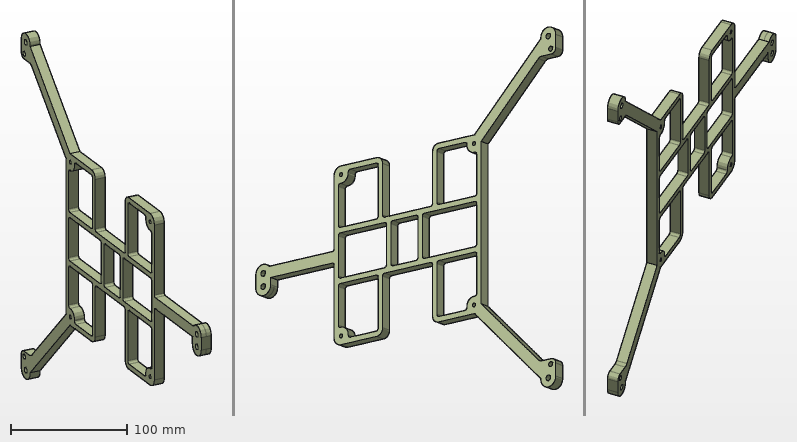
import cadquery as cq
import math

thickness = 10.0
length = 328.0
height = 324.0

frame_size = 161.0
wall = 5.0
screw_spacing = 145.3
screw_hole_diameter = 3.3
boss_radius = 8.0
post_corner_radius = 6.5
window_corner_radius = 2.3
rail_inner_z = 20.5
post_inner_x = 27.2
cross_wall_left_x = -13.8
cross_wall_spacing = 34.5

arm_width = 10.5
arm_root_radius = 1.5
ear_radius = 8.2
ear_hole_diameter = 5.0
ear_hole_spacing = 11.8
side_hole_diameter = 4.3
side_hole_shift = 2.5
ear_foot_drop = 16.7
ear_foot_radius = 5.0

frame_half = frame_size / 2
inner_half = frame_half - wall
screw_offset = screw_spacing / 2
rail_outer_z = rail_inner_z + wall
post_outer_x = post_inner_x + wall
corner_ear_offset = height / 2 - ear_radius
end_ear_x = length - height / 2 - ear_radius


def plate(x_min, x_max, z_min, z_max):
    """Rectangular block through the full thickness."""
    block = cq.Workplane("XY").box(x_max - x_min, thickness, z_max - z_min)
    return block.translate(((x_min + x_max) / 2, 0, (z_min + z_max) / 2))


def disc(x, z, radius):
    """Round block through the full thickness, with its axis along Y."""
    return cq.Workplane("XZ").center(x, z).circle(radius).extrude(thickness / 2, both=True)


def polygon(points):
    """Block of the given XZ outline through the full thickness."""
    return cq.Workplane("XZ").polyline(points).close().extrude(thickness / 2, both=True)


def mirrored_pair(body):
    """The body together with its reflection in the XY plane."""
    return body.union(body.mirror("XY"))


def round_corner(body, x, z, radius):
    """Fillet the through-thickness edge that stands at (x, z)."""
    edge = cq.selectors.NearestToPointSelector((x, 0, z))
    return body.edges("|Y").edges(edge).fillet(radius)


def frame_blank():
    """Square outline with a notch above and below, between the two posts."""
    notch = plate(-post_inner_x, post_inner_x, rail_outer_z, frame_half)
    notch = notch.edges("|Y and <Z").fillet(window_corner_radius)
    blank = plate(-frame_half, frame_half, -frame_half, frame_half).cut(mirrored_pair(notch))
    for z in (-frame_half, frame_half):
        blank = round_corner(blank, frame_half, z, boss_radius)
        for x in (-post_inner_x, post_inner_x):
            blank = round_corner(blank, x, z, post_corner_radius)
    return blank


def corner_window(x_min, x_max, screw_x):
    """Opening of an upper frame corner, cut back around the screw boss."""
    opening = plate(x_min, x_max, rail_outer_z, inner_half)
    opening = opening.cut(disc(screw_x, screw_offset, boss_radius))
    return opening.edges("|Y").fillet(window_corner_radius)


def frame_windows():
    """Four corner openings and a row of three between the rails."""
    left = corner_window(-inner_half, -post_outer_x, -screw_offset)
    right = corner_window(post_outer_x, inner_half, screw_offset)
    windows = mirrored_pair(left.union(right))
    cross_walls = (cross_wall_left_x, cross_wall_left_x + cross_wall_spacing)
    starts = [-inner_half] + [x + wall / 2 for x in cross_walls]
    ends = [x - wall / 2 for x in cross_walls] + [inner_half]
    for x_min, x_max in zip(starts, ends):
        row_window = plate(x_min, x_max, -rail_inner_z, rail_inner_z)
        windows = windows.union(row_window.edges("|Y").fillet(window_corner_radius))
    return windows


def corner_arm():
    """Diagonal arm from the upper left screw to an ear with a flat foot."""
    ear_x = -corner_ear_offset
    ear_z = corner_ear_offset
    arm_length = math.sqrt(2) * (corner_ear_offset - screw_offset)
    arm = plate(0, arm_length, -arm_width / 2, arm_width / 2)
    arm = arm.rotate((0, 0, 0), (0, 1, 0), 45).translate((ear_x, 0, ear_z))

    left_x = ear_x - ear_radius
    foot_z = ear_z - ear_foot_drop
    root_x = -foot_z - arm_width / math.sqrt(2)
    foot = polygon([(ear_x, ear_z), (left_x, ear_z), (left_x, foot_z), (root_x, foot_z)])
    body = arm.union(foot).union(disc(ear_x, ear_z, ear_radius))
    body = round_corner(body, left_x, foot_z, ear_foot_radius)
    body = round_corner(body, root_x, foot_z, ear_foot_radius)

    body = body.cut(disc(ear_x, ear_z, ear_hole_diameter / 2))
    side_hole = disc(ear_x - side_hole_shift, ear_z - ear_hole_spacing, side_hole_diameter / 2)
    return body.cut(side_hole)


def end_arm():
    """Straight arm along +X to a slot-shaped ear that hangs below it."""
    body = plate(inner_half, end_ear_x, -arm_width / 2, arm_width / 2)
    body = body.union(plate(end_ear_x - ear_radius, end_ear_x + ear_radius, -ear_hole_spacing, 0))
    hole_heights = (0, -ear_hole_spacing)
    for z in hole_heights:
        body = body.union(disc(end_ear_x, z, ear_radius))
    for z in hole_heights:
        body = body.cut(disc(end_ear_x, z, ear_hole_diameter / 2))
    return body


def screw_holes():
    """One hole through the centre of each of the four corner bosses."""
    offsets = (-screw_offset, screw_offset)
    places = [(x, z) for x in offsets for z in offsets]
    holes = cq.Workplane("XZ").pushPoints(places).circle(screw_hole_diameter / 2)
    return holes.extrude(thickness / 2, both=True)


frame = frame_blank().cut(frame_windows())
result = frame.union(mirrored_pair(corner_arm())).union(end_arm())

for arm_side in (-arm_width / 2, arm_width / 2):
    result = round_corner(result, frame_half, arm_side, arm_root_radius)

result = result.cut(screw_holes())